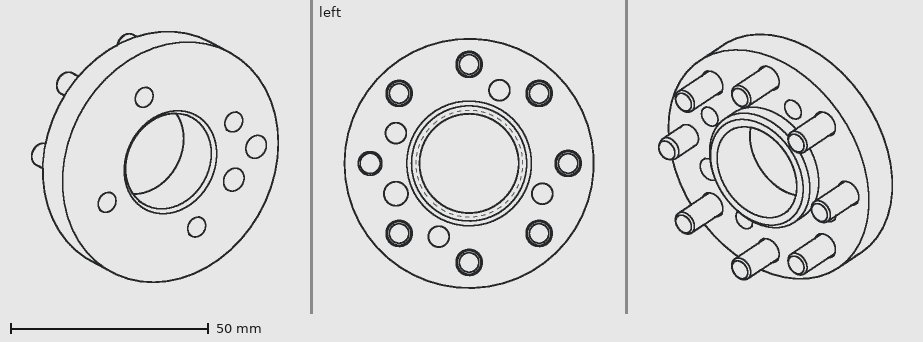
import cadquery as cq
import math

disc_diameter = 63.0
disc_thickness = 10.0
hub_diameter = 31.5
hub_height = 5.0
hub_chamfer = 1.2
bore_diameter = 25.0
bore_chamfer = 1.0

pin_circle_radius = 25.0
pin_positions = 8
pin_spacing = 360 / pin_positions

stud_diameter = 6.0
stud_length = 16.0
stud_projection = 12.2
stud_chamfer = 0.55
stud_hole_diameter = 6.6
stud_hole_depth = stud_length - stud_projection

dowel_diameter = 6.0
dowel_projection = 10.0
dowel_taper_length = 1.1
dowel_taper_depth = 0.45
dowel_dome_radius = dowel_diameter
dowel_angle = 0.0

hole_circle_radius = 20.0
hole_offset_angle = pin_spacing / 2
screw_hole_count = 4
screw_hole_diameter = 5.2
screw_hole_spacing = 360 / screw_hole_count
dowel_hole_diameter = dowel_diameter


def polar(radius, angle):
    """Y and Z of a point on a circle about the X axis; the angle runs from +Y toward +Z."""
    return radius * math.cos(math.radians(angle)), radius * math.sin(math.radians(angle))


def cylinder(x_start, x_end, diameter, center=(0, 0)):
    """Cylinder along X around the given Y and Z."""
    plane = cq.Workplane("YZ", origin=(x_start, 0, 0))
    return plane.center(*center).circle(diameter / 2).extrude(x_end - x_start)


def through_hole(diameter, center):
    return cylinder(0, disc_thickness, diameter, center)


def make_flange(stud_centers, dowel_center):
    hub = cylinder(-hub_height, 0, hub_diameter).faces("<X").chamfer(hub_chamfer)
    flange = cylinder(0, disc_thickness, disc_diameter).union(hub)
    flange = flange.cut(cylinder(-hub_height, disc_thickness, bore_diameter))
    bore_rim = cq.selectors.RadiusNthSelector(0)
    flange = flange.faces(">X").edges(bore_rim).chamfer(bore_chamfer)

    for index in range(screw_hole_count):
        angle = hole_offset_angle + index * screw_hole_spacing
        flange = flange.cut(through_hole(screw_hole_diameter, polar(hole_circle_radius, angle)))

    spare_center = polar(hole_circle_radius, dowel_angle - hole_offset_angle)
    flange = flange.cut(through_hole(dowel_hole_diameter, spare_center))
    flange = flange.cut(through_hole(dowel_hole_diameter, dowel_center))

    for center in stud_centers:
        flange = flange.cut(cylinder(0, stud_hole_depth, stud_hole_diameter, center))
    return flange


def make_stud(center):
    stud = cylinder(-stud_projection, stud_hole_depth, stud_diameter, center)
    return stud.faces("<X").chamfer(stud_chamfer)


def make_dowel(center):
    """Dowel with a tapered lead and a domed tip, revolved about its own axis."""
    radius = dowel_diameter / 2
    dome_edge_radius = radius - dowel_taper_depth
    dome_height = dowel_dome_radius - math.sqrt(dowel_dome_radius**2 - dome_edge_radius**2)
    tip_x = -dowel_projection
    dome_edge_x = tip_x + dome_height
    taper_end_x = dome_edge_x + dowel_taper_length

    half_angle = math.asin(dome_edge_radius / dowel_dome_radius) / 2
    dome_middle = (
        tip_x + dowel_dome_radius * (1 - math.cos(half_angle)),
        dowel_dome_radius * math.sin(half_angle),
    )

    profile = (
        cq.Workplane("XY")
        .moveTo(tip_x, 0)
        .threePointArc(dome_middle, (dome_edge_x, dome_edge_radius))
        .lineTo(taper_end_x, radius)
        .lineTo(disc_thickness, radius)
        .lineTo(disc_thickness, 0)
        .close()
    )
    dowel = profile.revolve(360, (0, 0, 0), (1, 0, 0))
    return dowel.translate((0, *center))


dowel_center = polar(pin_circle_radius, dowel_angle)
stud_centers = [
    polar(pin_circle_radius, dowel_angle + index * pin_spacing)
    for index in range(1, pin_positions)
]

flange = make_flange(stud_centers, dowel_center)
dowel = make_dowel(dowel_center)
studs = [make_stud(center) for center in stud_centers]

result = cq.Compound.makeCompound([flange.val(), dowel.val(), *[stud.val() for stud in studs]])